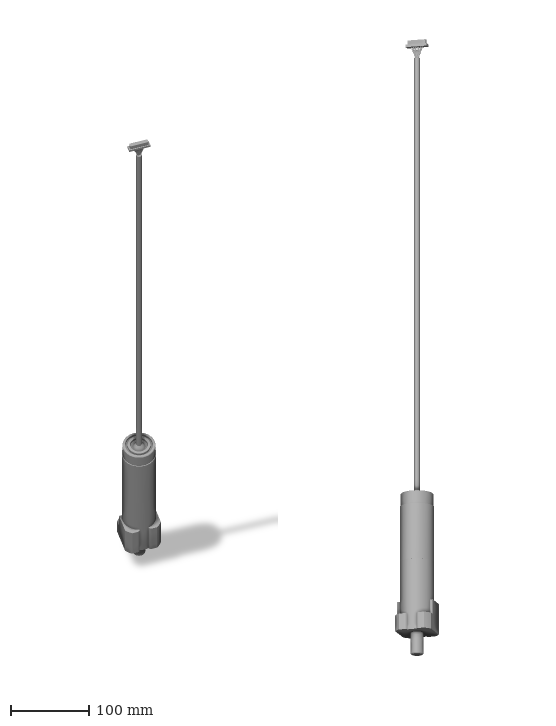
import cadquery as cq

TOTAL_HEIGHT = 811.5
BLOCK_BASE_Z = 28.0
LOW_STEP_Z = 49.5
HIGH_STEP_Z = 69.0
SLEEVE_BASE_Z = 122.0
CAP_BASE_Z = 195.0
CAP_TOP_Z = 212.0
CABLE_TOP_Z = 788.0

SHAFT_RADIUS = 8.0
SHAFT_CHAMFER = 1.0

BLOCK_SIDE = 48.0
TUBE_MARGIN = 1.95
TUBE_RADIUS = BLOCK_SIDE / 2 - TUBE_MARGIN
BLOCK_CORNER_RADIUS = 29.0
STEP_X = -9.0
NOTCH_HALF_WIDTH = 10.0
NOTCH_EDGE_RADIUS = 4.0

SLEEVE_STEP = 0.1
SLEEVE_RADIUS = TUBE_RADIUS + SLEEVE_STEP

CAP_RADIUS = 21.0
CAP_TOP_CHAMFER = 1.0
CAP_GROOVE_OUTER_RADIUS = 18.0
CAP_GROOVE_INNER_RADIUS = 15.0
CAP_RECESS_RADIUS = 11.0
CAP_RECESS_DEPTH = 3.0
GLAND_BASE_RADIUS = 8.0
GLAND_RISE = 2.0

CABLE_RADIUS = 3.6

PLUG_WIDTH = 24.0
PLUG_THICKNESS = 5.0
PLUG_FLANGE_WIDTH = 28.0
PLUG_FLANGE_THICKNESS = 7.0
PLUG_FLANGE_BASE_Z = 802.5
PLUG_FLANGE_TOP_Z = 806.0
WIRE_COUNT = 7
WIRE_RADIUS = 1.0
WIRE_PITCH_AT_PLUG = 2.8
WIRE_PITCH_AT_CABLE = 0.4


def cylinder(radius, bottom, top):
    return cq.Workplane("XY").workplane(offset=bottom).circle(radius).extrude(top - bottom)


def block(width_x, width_y, bottom, top):
    return cq.Workplane("XY").workplane(offset=bottom).rect(width_x, width_y).extrude(top - bottom)


def make_shaft():
    return cylinder(SHAFT_RADIUS, 0, BLOCK_BASE_Z).faces("<Z").chamfer(SHAFT_CHAMFER)


def edge_notch():
    """Cutter for a round-edged notch in the +X face of the flange block."""
    half_side = BLOCK_SIDE / 2
    height = HIGH_STEP_Z - BLOCK_BASE_Z
    opening = (
        cq.Workplane("XY")
        .workplane(offset=BLOCK_BASE_Z)
        .center(half_side - NOTCH_EDGE_RADIUS / 2, 0)
        .rect(NOTCH_EDGE_RADIUS, 2 * NOTCH_HALF_WIDTH)
        .extrude(height)
    )
    edge_centers = [(half_side - NOTCH_EDGE_RADIUS, side * NOTCH_HALF_WIDTH) for side in (-1, 1)]
    round_edges = (
        cq.Workplane("XY")
        .workplane(offset=BLOCK_BASE_Z)
        .pushPoints(edge_centers)
        .circle(NOTCH_EDGE_RADIUS)
        .extrude(height)
    )
    return opening.cut(round_edges)


def make_housing():
    flange = block(BLOCK_SIDE, BLOCK_SIDE, BLOCK_BASE_Z, HIGH_STEP_Z)
    flange = flange.intersect(cylinder(BLOCK_CORNER_RADIUS, BLOCK_BASE_Z, HIGH_STEP_Z))
    step_cut = block(BLOCK_SIDE, BLOCK_SIDE, LOW_STEP_Z, HIGH_STEP_Z)
    flange = flange.cut(step_cut.translate((STEP_X - BLOCK_SIDE / 2, 0, 0)))
    for angle in (0, 180):
        flange = flange.cut(edge_notch().rotate((0, 0, 0), (0, 0, 1), angle))
    return flange.union(cylinder(TUBE_RADIUS, BLOCK_BASE_Z, SLEEVE_BASE_Z))


def make_sleeve():
    return cylinder(SLEEVE_RADIUS, SLEEVE_BASE_Z, CAP_BASE_Z)


def make_cap():
    cap = cylinder(CAP_RADIUS, CAP_BASE_Z, CAP_TOP_Z).faces(">Z").chamfer(CAP_TOP_CHAMFER)
    floor_z = CAP_TOP_Z - CAP_RECESS_DEPTH
    gland_top_z = CAP_TOP_Z + GLAND_RISE
    recess = cylinder(CAP_RECESS_RADIUS, floor_z, CAP_TOP_Z)
    groove = cylinder(CAP_GROOVE_OUTER_RADIUS, floor_z, CAP_TOP_Z)
    groove = groove.cut(cylinder(CAP_GROOVE_INNER_RADIUS, floor_z, CAP_TOP_Z))
    gland = (
        cq.Workplane("XY")
        .workplane(offset=floor_z)
        .circle(GLAND_BASE_RADIUS)
        .workplane(offset=gland_top_z - floor_z)
        .circle(CABLE_RADIUS)
        .loft()
    )
    return cap.cut(recess).cut(groove).union(gland)


def make_cable():
    return cylinder(CABLE_RADIUS, CAP_TOP_Z + GLAND_RISE, CABLE_TOP_Z)


def make_wire(index):
    """One straight wire, spreading from the cable end into the plug."""
    offset = index - (WIRE_COUNT - 1) / 2
    start = cq.Vector(0, offset * WIRE_PITCH_AT_CABLE, CABLE_TOP_Z)
    end = cq.Vector(0, offset * WIRE_PITCH_AT_PLUG, PLUG_FLANGE_TOP_Z)
    axis = end - start
    wire = cq.Solid.makeCylinder(WIRE_RADIUS, axis.Length, start, axis)
    return cq.Workplane(wire)


def make_plug():
    plug = block(PLUG_THICKNESS, PLUG_WIDTH, PLUG_FLANGE_BASE_Z, TOTAL_HEIGHT)
    plug = plug.union(block(PLUG_FLANGE_THICKNESS, PLUG_FLANGE_WIDTH, PLUG_FLANGE_BASE_Z, PLUG_FLANGE_TOP_Z))
    for index in range(WIRE_COUNT):
        plug = plug.union(make_wire(index))
    return plug.cut(make_cable())


bodies = [make_shaft(), make_housing(), make_sleeve(), make_cap(), make_cable(), make_plug()]
result = cq.Compound.makeCompound([body.val() for body in bodies])